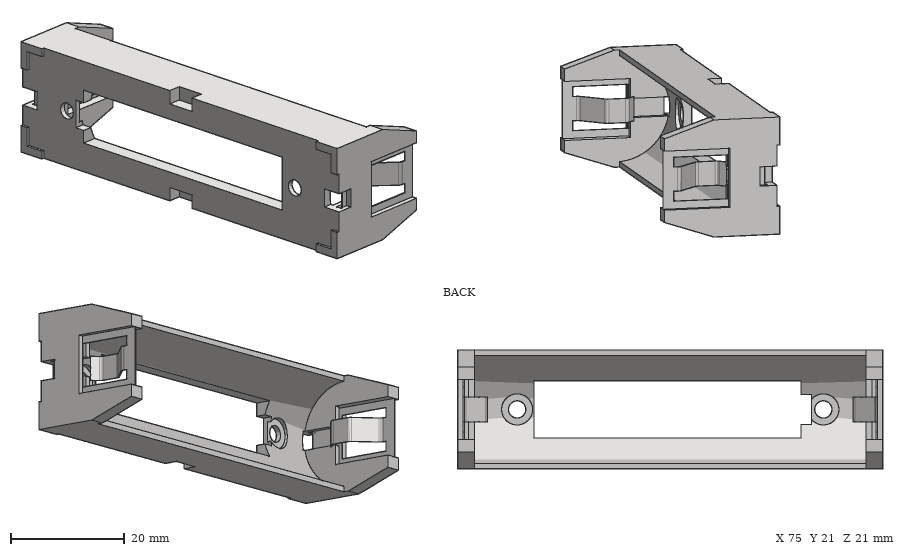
import cadquery as cq
import math


length = 75.0
width = 21.0
height = 21.0
end_x = length / 2
half_width = width / 2
wall_top = 11.0
end_wall = 3.0
shoulder_height = 12.0
crown_width = 15.0

foot_height = 0.5
foot_thickness = 1.5
foot_length = 5.0

floor_top = 2.0
cradle_axis = 11.55
cradle_radius = cradle_axis - floor_top

window_left = -23.0
window_right = 24.0
window_width = 10.05
step_length = 1.9
step_width = 5.25

screw_spacing = 54.0
screw_diameter = 3.0
counterbore_diameter = 5.5
counterbore_floor = 1.5

clip_length = 5.25
clip_depth = 2.55
clip_top = 3.0

seat_width = 10.6
lip_top = 9.1
lip_thickness = 1.0
slot_thickness = 1.0

notch_width = 3.45
notch_length = 3.45
notch_top = 3.6

sheet = 0.2
terminal_bottom = 2.5
opening_width = 7.9
opening_top = 19.05
tongue_width = 4.35
tongue_reach = 4.05
tongue_upper_bend = 17.9
tongue_lower_bend = 10.1
tongue_return = 1.35
bend_angle = math.radians(45)
inner_bend_radius = 0.9
outer_bend_radius = inner_bend_radius + sheet


def block(x_min, x_max, y_min, y_max, z_size):
    """Box between limits in X and Y, centred on Z = 0."""
    box = cq.Workplane("XY").box(x_max - x_min, y_max - y_min, z_size, centered=(False, False, True))
    return box.translate((x_min, y_min, 0))


def both_ends(left_shape):
    """A left-end shape together with its mirror image at the right end."""
    return left_shape.union(left_shape.mirror("YZ"))


def make_end_wall():
    half_profile = [
        (foot_height, 0),
        (foot_height, half_width),
        (shoulder_height, half_width),
        (height, crown_width / 2),
        (height, 0),
    ]
    half = cq.Workplane("YZ", origin=(-end_x, 0, 0)).polyline(half_profile).close().extrude(end_wall)
    return half.union(half.mirror("XY"))


def make_left_feet():
    along = block(-end_x, -end_x + foot_length, 0, foot_height, foot_thickness)
    along = along.translate((0, 0, half_width - foot_thickness / 2))
    across = block(-end_x, -end_x + foot_thickness, 0, foot_height, foot_length)
    across = across.translate((0, 0, half_width - foot_length / 2))
    foot = along.union(across)
    return foot.union(foot.mirror("XY"))


def make_cradle():
    cradle_length = length - 2 * end_wall
    start = (-cradle_length / 2, cradle_axis, 0)
    return cq.Workplane("YZ", origin=start).circle(cradle_radius).extrude(cradle_length)


def make_contact_seat():
    lip_back = -end_x + lip_thickness
    inner_face = -end_x + end_wall
    opening = block(-end_x, inner_face, lip_top, height, seat_width)
    slot = block(lip_back, lip_back + slot_thickness, floor_top, height, seat_width)
    channel = block(lip_back, inner_face, floor_top, lip_top, notch_width)
    return opening.union(slot).union(channel)


def make_terminal_notch():
    return block(-end_x, -end_x + notch_length, 0, notch_top, notch_width)


def make_base_window():
    window = block(window_left, window_right, 0, wall_top, window_width)
    step = block(window_left - step_length, window_left, 0, wall_top, step_width)
    return window.union(step)


def make_screw_hole(x):
    hole = cq.Workplane("XZ", origin=(x, 0, 0)).circle(screw_diameter / 2).extrude(-wall_top)
    counterbore = (
        cq.Workplane("XZ", origin=(x, counterbore_floor, 0))
        .circle(counterbore_diameter / 2)
        .extrude(counterbore_floor - wall_top)
    )
    return hole.union(counterbore)


def make_housing():
    body = block(-end_x, end_x, foot_height, wall_top, width)
    body = body.union(both_ends(make_end_wall()))
    body = body.union(both_ends(make_left_feet()))
    body = body.cut(make_cradle())
    body = body.cut(both_ends(make_contact_seat()))
    body = body.cut(both_ends(make_terminal_notch()))
    body = body.cut(make_base_window())
    for x in (-screw_spacing / 2, screw_spacing / 2):
        body = body.cut(make_screw_hole(x))
    clip_notch = block(-clip_length / 2, clip_length / 2, 0, clip_top, 2 * clip_depth)
    for z in (-half_width, half_width):
        body = body.cut(clip_notch.translate((0, 0, z)))
    return body


def make_tongue(plate_x):
    """Bent strip of 45-degree and upright runs, from the plate's outer face at plate_x."""
    pad_x = plate_x + tongue_reach
    pad_top = tongue_upper_bend - tongue_reach
    tip_x = pad_x - tongue_return
    tip_y = tongue_lower_bend - tongue_return
    bend_shift = sheet * math.tan(bend_angle / 2)
    tip_shift = sheet * math.sin(bend_angle)

    outline = [
        (plate_x, opening_top),
        (plate_x, tongue_upper_bend),
        (pad_x, pad_top),
        (pad_x, tongue_lower_bend),
        (tip_x, tip_y),
        (tip_x + tip_shift, tip_y - tip_shift),
        (pad_x + sheet, tongue_lower_bend - bend_shift),
        (pad_x + sheet, pad_top + bend_shift),
        (plate_x + sheet, tongue_upper_bend + bend_shift),
        (plate_x + sheet, opening_top),
    ]
    bends = [
        (outline[1], outer_bend_radius),
        (outline[2], inner_bend_radius),
        (outline[3], inner_bend_radius),
        (outline[6], outer_bend_radius),
        (outline[7], outer_bend_radius),
        (outline[8], inner_bend_radius),
    ]
    tongue = cq.Workplane("XY").polyline(outline).close().extrude(tongue_width / 2, both=True)
    for (x, y), radius in bends:
        tongue = tongue.edges(cq.NearestToPointSelector((x, y, 0))).fillet(radius)
    return tongue


def make_left_contact():
    plate_x = -end_x + lip_thickness
    plate = block(plate_x, plate_x + sheet, terminal_bottom, height, seat_width)
    opening = block(plate_x, plate_x + sheet, lip_top, opening_top, opening_width)
    return plate.cut(opening).union(make_tongue(plate_x))


housing = make_housing()
left_contact = make_left_contact()
right_contact = left_contact.mirror("YZ")

result = cq.Compound.makeCompound([housing.val(), left_contact.val(), right_contact.val()])